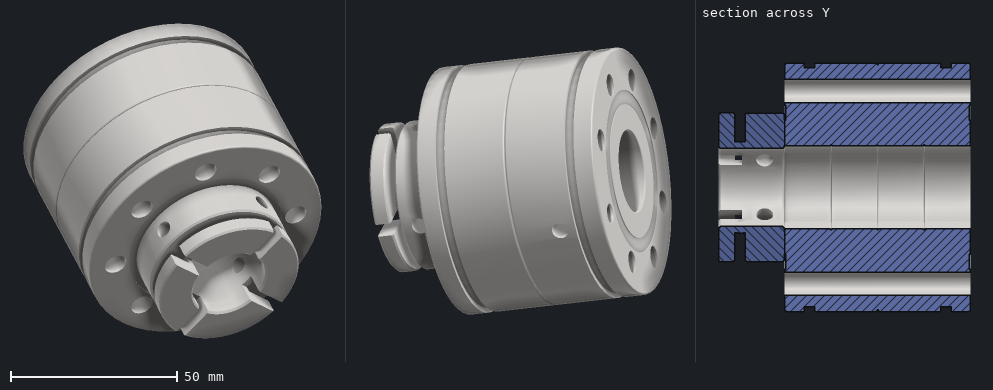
import cadquery as cq
import math

total_length = 76.0

cut_margin = 0.75

unit_width = 56.0
bearing_width = unit_width / 2
outer_diameter = 75.0
outer_radius = outer_diameter / 2
bore_radius = 12.5
outer_round = 0.6
bore_round = 0.3

outer_groove_start = 6.0
outer_groove_width = 3.0
outer_groove_radius = 36.1

seal_inner_radius = 20.3
seal_outer_radius = 24.6
seal_recess_depth = 0.3

bolt_circle_radius = 29.0
bolt_hole_radius = 3.4
bolt_places = 8
port_angle = -45.0
port_radius = 2.4
port_mouth_radius = 3.05
duct_position = bearing_width / 2

nut_start = unit_width
nut_radius = 22.5
neck_radius = 13.8
nut_bore_radius = 11.7
collar_width = 12.0
nut_flange_width = 5.0
nut_rim_chamfer = 0.5
nut_bore_chamfer = 0.6

diagonal_angles = [45.0, 135.0, 225.0, 315.0]
radial_hole_radius = 2.5
radial_hole_position = nut_start + collar_width / 2
slot_width = 3.95
slot_depth = 7.1


def tube(start, width, outside, inside):
    """Hollow cylinder along X."""
    return cq.Workplane("YZ", origin=(start, 0, 0)).circle(outside).circle(inside).extrude(width)


def radial_rod(position, angle, inner, outer, radius):
    """Cylinder pointing away from the X axis; the angle runs from +Y towards +Z."""
    direction = cq.Vector(0, math.cos(math.radians(angle)), math.sin(math.radians(angle)))
    start = cq.Vector(position, 0, 0) + direction * inner
    return cq.Workplane(obj=cq.Solid.makeCylinder(radius, outer - inner, start, direction))


def bore_joint():
    """Ring with a V section that marks the joint between the two inner rings of a bearing."""
    middle = bearing_width / 2
    return (
        cq.Workplane("XY")
        .moveTo(middle - bore_round, bore_radius)
        .lineTo(middle, bore_radius + bore_round)
        .lineTo(middle + bore_round, bore_radius)
        .close()
        .revolve(360, (0, 0, 0), (1, 0, 0))
    )


def single_bearing():
    """Ring with rounded edges, an outer groove, a seal recess and a bore joint."""
    body = tube(0, bearing_width, outer_radius, bore_radius)
    body = body.edges(cq.selectors.RadiusNthSelector(0)).fillet(bore_round)
    body = body.edges(cq.selectors.RadiusNthSelector(-1)).fillet(outer_round)
    outer_groove = tube(outer_groove_start, outer_groove_width, outer_radius + cut_margin, outer_groove_radius)
    seal_recess = tube(0, seal_recess_depth, seal_outer_radius, seal_inner_radius)
    return body.cut(outer_groove).cut(seal_recess).cut(bore_joint())


def bolt_holes():
    """Through holes at every place on the bolt circle except that of the lubrication port."""
    step = 360 / bolt_places
    return (
        cq.Workplane("YZ")
        .polarArray(bolt_circle_radius, port_angle + step, 360 - 2 * step, bolt_places - 1)
        .circle(bolt_hole_radius)
        .extrude(unit_width)
    )


def lubrication_port():
    """Countersunk axial hole that ends in a radial duct to the outside."""
    y = bolt_circle_radius * math.cos(math.radians(port_angle))
    z = bolt_circle_radius * math.sin(math.radians(port_angle))
    mouth_depth = port_mouth_radius - port_radius
    axis = cq.Vector(1, 0, 0)
    mouth = cq.Solid.makeCone(port_mouth_radius, port_radius, mouth_depth, cq.Vector(0, y, z), axis)
    hole = cq.Solid.makeCylinder(port_radius, duct_position, cq.Vector(0, y, z), axis)
    duct = radial_rod(duct_position, port_angle, seal_outer_radius, outer_radius + cut_margin, port_radius)
    return duct.union(cq.Workplane(obj=hole)).union(cq.Workplane(obj=mouth))


def make_bearing_unit():
    bearing = single_bearing()
    unit = bearing.union(bearing.mirror("YZ", (bearing_width, 0, 0)))
    return unit.cut(bolt_holes()).cut(lubrication_port())


def chamfered_disc(start, width):
    """Solid disc of the locknut with both rims chamfered."""
    disc = cq.Workplane("YZ", origin=(start, 0, 0)).circle(nut_radius).extrude(width)
    return disc.edges("%CIRCLE").chamfer(nut_rim_chamfer)


def nut_bore():
    """Bore of the locknut, chamfered at both ends."""
    mouth_radius = nut_bore_radius + nut_bore_chamfer
    return (
        cq.Workplane("XY")
        .moveTo(nut_start, 0)
        .lineTo(nut_start, mouth_radius)
        .lineTo(nut_start + nut_bore_chamfer, nut_bore_radius)
        .lineTo(total_length - nut_bore_chamfer, nut_bore_radius)
        .lineTo(total_length, mouth_radius)
        .lineTo(total_length, 0)
        .close()
        .revolve(360, (0, 0, 0), (1, 0, 0))
    )


def make_locknut():
    flange_start = total_length - nut_flange_width
    collar = chamfered_disc(nut_start, collar_width)
    flange = chamfered_disc(flange_start, nut_flange_width)
    nut_length = total_length - nut_start
    neck = cq.Workplane("YZ", origin=(nut_start, 0, 0)).circle(neck_radius).extrude(nut_length)
    nut = collar.union(neck).union(flange).cut(nut_bore())
    slot = cq.Workplane("XY").box(slot_depth, 2 * nut_radius, slot_width)
    slot = slot.translate((total_length - slot_depth / 2, nut_radius, 0))
    for angle in diagonal_angles:
        nut = nut.cut(slot.rotate((0, 0, 0), (1, 0, 0), angle))
        nut = nut.cut(radial_rod(radial_hole_position, angle, 0, nut_radius + cut_margin, radial_hole_radius))
    return nut


bearing_unit = make_bearing_unit()
locknut = make_locknut()

result = cq.Compound.makeCompound([bearing_unit.val(), locknut.val()])